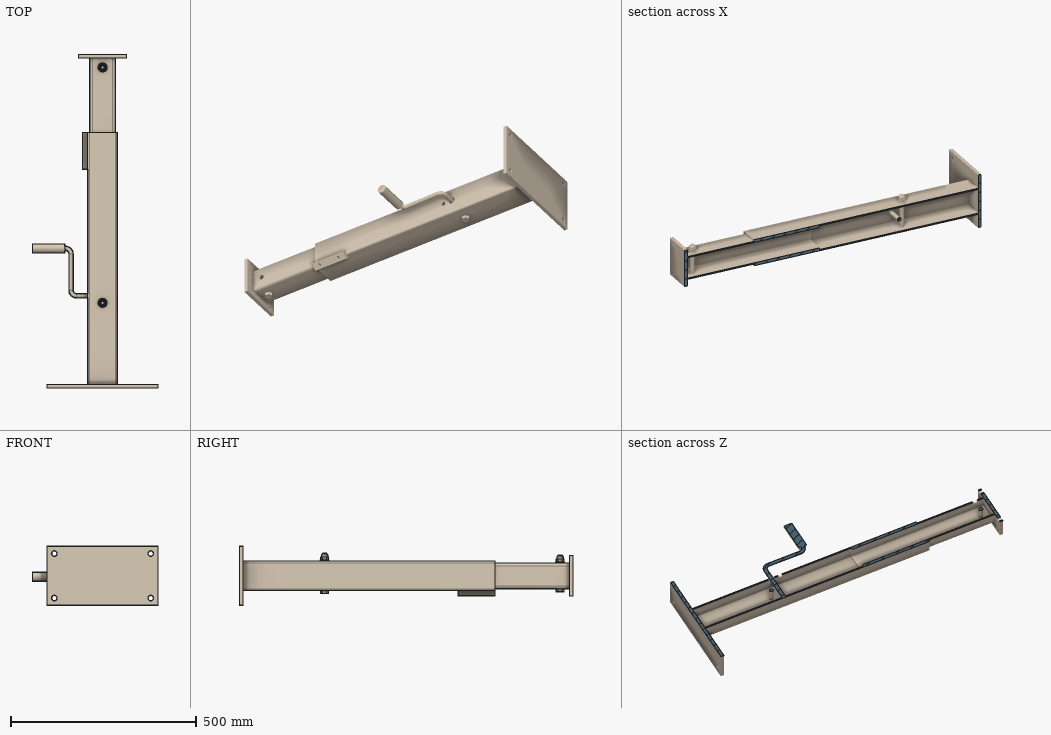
import cadquery as cq
import math


total_length = 900.0
plate_thickness = 10.0
inner_tube_exposed = 200.0
inner_tube_overlap = 200.0
outer_tube_end = total_length - plate_thickness - inner_tube_exposed
inner_tube_end = total_length - plate_thickness

foot_width, foot_height = 300.0, 160.0
foot_hole_spacing_x, foot_hole_spacing_z = 260.0, 120.0
foot_hole_diameter = 14.0
head_width, head_height = 130.0, 110.0
head_corner_hole_spacing = 90.0
head_side_hole_spacing = 110.0
head_hole_diameter = 9.0

wall = 5.0
outer_size = 80.0
outer_radius = 5.0
inner_size = outer_size - 2 * wall
inner_radius = 8.0
outer_bore_radius = 2.0
inner_bore_radius = inner_radius - wall

lower_bolt_y = 230.0
upper_bolt_y = 865.0
bolt_diameter = 12.0
bolt_hex_flats = 19.0
bolt_head_height = 8.0
bolt_length_above_tube = 21.5
bolt_tip_chamfer = 1.5
washer_diameter = 24.0
washer_thickness = 2.0
nut_height = 9.0
nut_collar_diameter = 18.0
nut_collar_height = 7.5
nut_collar_fillet = 4.0

inner_side_hole_diameter = 14.0
shaft_opening_diameter = 18.0
outer_side_hole_diameter = 12.0
outer_side_hole_y = 276.0

crank_shaft_y = 249.0
crank_throw = 128.0
crank_tilt = 1.0
crank_diameter = 12.0
crank_bend_radius = 15.0
crank_arm_x = -85.0
grip_end_x = -189.4
grip_length = 88.0
grip_diameter = 25.0

bar_angle = 45.0
bar_length = 100.0
bar_width = 22.0
bar_outer_distance = 65.5
bar_depth = 25.0
bar_hole_spacing = 60.0
bar_hole_diameter = 8.0


def box_along_y(width, height, start, end):
    """Block centred on the Y axis between two Y positions."""
    middle = (start + end) / 2
    return cq.Workplane("XY").box(width, end - start, height).translate((0, middle, 0))


def cylinder(diameter, start, direction, length):
    return cq.Workplane(
        cq.Solid.makeCylinder(diameter / 2, length, cq.Vector(*start), cq.Vector(*direction))
    )


def drill_along_y(plate, points, diameter, start):
    for x, z in points:
        plate = plate.cut(cylinder(diameter, (x, start, z), (0, 1, 0), plate_thickness))
    return plate


def corner_points(spacing_x, spacing_z):
    return [(sx * spacing_x / 2, sz * spacing_z / 2) for sx in (-1, 1) for sz in (-1, 1)]


def make_foot_plate():
    plate = box_along_y(foot_width, foot_height, 0, plate_thickness)
    points = corner_points(foot_hole_spacing_x, foot_hole_spacing_z)
    return drill_along_y(plate, points, foot_hole_diameter, 0)


def make_head_plate():
    plate = box_along_y(head_width, head_height, inner_tube_end, total_length)
    points = corner_points(head_corner_hole_spacing, head_corner_hole_spacing)
    points += [(side * head_side_hole_spacing / 2, 0) for side in (-1, 1)]
    return drill_along_y(plate, points, head_hole_diameter, inner_tube_end)


def make_tube(size, radius, bore_radius, start, end, side_holes):
    """Rounded square tube with (Y position, diameter) holes through its -X wall."""
    tube = box_along_y(size, size, start, end).edges("|Y").fillet(radius)
    bore_size = size - 2 * wall
    bore = box_along_y(bore_size, bore_size, start, end).edges("|Y").fillet(bore_radius)
    tube = tube.cut(bore)
    for y, diameter in side_holes:
        tube = tube.cut(cylinder(diameter, (-size / 2, y, 0), (1, 0, 0), wall))
    return tube


def hex_prism(y, bottom, height):
    """Upright hexagon with two corners along Y."""
    corner_diameter = bolt_hex_flats / math.cos(math.pi / 6)
    prism = cq.Workplane("XY").polygon(6, corner_diameter).extrude(height)
    return prism.rotate((0, 0, 0), (0, 0, 1), 90).translate((0, y, bottom))


def make_bolt(y, tube_size):
    """Hex-headed bolt through a tube, with a washer and a lock nut above it."""
    bottom = -tube_size / 2
    top = tube_size / 2
    nut_base = top + washer_thickness
    head = hex_prism(y, bottom - bolt_head_height, bolt_head_height)
    shank = cylinder(bolt_diameter, (0, y, bottom), (0, 0, 1), tube_size + bolt_length_above_tube)
    shank = shank.faces(">Z").chamfer(bolt_tip_chamfer)
    washer = cylinder(washer_diameter, (0, y, top), (0, 0, 1), washer_thickness)
    nut = hex_prism(y, nut_base, nut_height)
    collar_start = (0, y, nut_base + nut_height)
    collar = cylinder(nut_collar_diameter, collar_start, (0, 0, 1), nut_collar_height)
    collar = collar.faces(">Z").edges().fillet(nut_collar_fillet)
    return head.union(shank).union(washer).union(nut).union(collar)


def make_crank():
    """Bent rod whose shaft crosses the outer tube to its far wall, with a round grip."""
    grip_y = crank_shaft_y + crank_throw
    shaft_end_x = outer_size / 2 - wall / 2
    arc_offset = crank_bend_radius * (1 - math.sqrt(0.5))
    path = (
        cq.Workplane("XY")
        .moveTo(shaft_end_x, crank_shaft_y)
        .lineTo(crank_arm_x + crank_bend_radius, crank_shaft_y)
        .threePointArc(
            (crank_arm_x + arc_offset, crank_shaft_y + arc_offset),
            (crank_arm_x, crank_shaft_y + crank_bend_radius),
        )
        .lineTo(crank_arm_x, grip_y - crank_bend_radius)
        .threePointArc(
            (crank_arm_x - arc_offset, grip_y - arc_offset),
            (crank_arm_x - crank_bend_radius, grip_y),
        )
        .lineTo(grip_end_x + grip_length / 2, grip_y)
    )
    rod = (
        cq.Workplane("YZ", origin=(shaft_end_x, crank_shaft_y, 0))
        .circle(crank_diameter / 2)
        .sweep(path)
    )
    grip = cylinder(grip_diameter, (grip_end_x, grip_y, 0), (1, 0, 0), grip_length)
    crank = rod.union(grip)
    return crank.rotate((0, crank_shaft_y, 0), (1, crank_shaft_y, 0), -crank_tilt)


def make_corner_bar():
    """Drilled bar facing diagonally away from the tube corner, trimmed to the tube outside."""
    middle_y = outer_tube_end - bar_length / 2
    bar = cq.Workplane("XY").box(bar_depth, bar_length, bar_width)
    bar = bar.translate((-bar_outer_distance + bar_depth / 2, middle_y, 0))
    for side in (-1, 1):
        hole_y = middle_y + side * bar_hole_spacing / 2
        start = (-bar_outer_distance, hole_y, 0)
        bar = bar.cut(cylinder(bar_hole_diameter, start, (1, 0, 0), bar_depth))
    bar = bar.rotate((0, 0, 0), (0, 1, 0), -bar_angle)
    tube_outside = box_along_y(outer_size, outer_size, 0, outer_tube_end)
    return bar.cut(tube_outside.edges("|Y").fillet(outer_radius))


outer_side_holes = [
    (crank_shaft_y, shaft_opening_diameter),
    (outer_side_hole_y, outer_side_hole_diameter),
]
outer_tube = make_tube(
    outer_size, outer_radius, outer_bore_radius,
    plate_thickness, outer_tube_end, outer_side_holes,
)
inner_side_holes = [(upper_bolt_y, inner_side_hole_diameter)]
inner_tube = make_tube(
    inner_size, inner_radius, inner_bore_radius,
    outer_tube_end - inner_tube_overlap, inner_tube_end, inner_side_holes,
)

result = (
    make_foot_plate()
    .union(outer_tube)
    .union(inner_tube)
    .union(make_head_plate())
    .union(make_bolt(lower_bolt_y, outer_size))
    .union(make_bolt(upper_bolt_y, inner_size))
    .union(make_crank())
    .union(make_corner_bar())
)